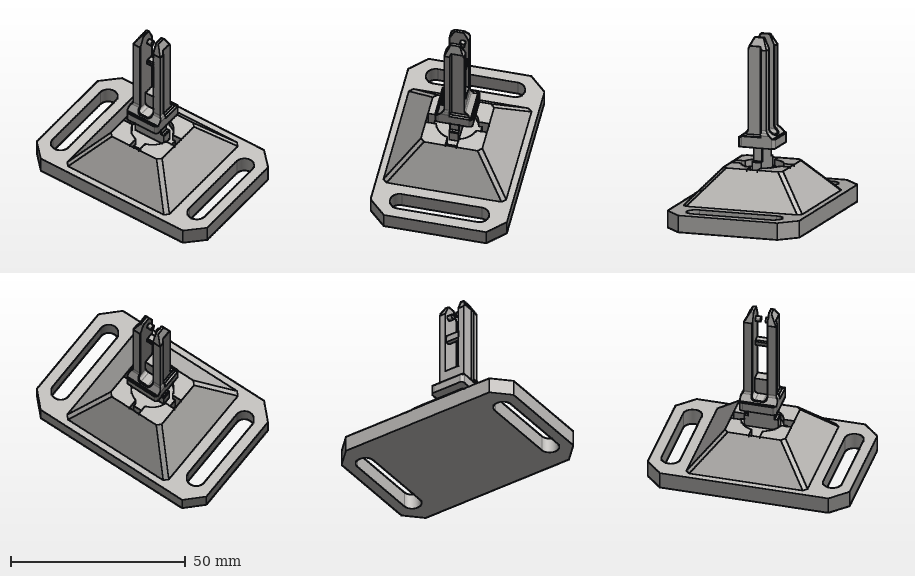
import cadquery as cq
import math

plate_length = 60.0
plate_width = 40.0
plate_thickness = 5.0
plate_corner = 5.0
slot_offset = 24.0
slot_length = 29.0
slot_width = 5.5

pedestal_bottom = 36.0
pedestal_top = 18.0
pedestal_top_z = 15.0
pedestal_corner = 1.15

socket_radius = 6.1
socket_depth = 2.0
groove_width = 3.3
groove_floor_reach = 6.85
well_depth = 6.0
well_floor_angle = 20.0

stem_width = 8.05
stem_thickness = 2.75
foot_width = 10.0
foot_top_z = 16.55
stem_edge_chamfer = 0.2
foot_shoulder_chamfer = 0.25

collar_size = 11.0
collar_bottom_z = 20.7
collar_top_z = 23.5
collar_corner_radius = 0.95
collar_rim_chamfer = 0.2

prong_outer_x = 4.8
prong_half_depth = 2.9
prong_base_z = 25.5
prong_shoulder_z = 49.3
prong_top_z = 52.6
tip_outer_x = 3.0
tip_half_depth = 1.4
tip_radius = 0.5
flare_radius = 1.0

channel_width = 4.45
channel_bottom_z = 24.05
channel_corner_radius = 1.0
channel_mouth_chamfer = 0.2
web_front_y = -0.35
web_top_z = 29.0

bar_front_y = 0.3
bar_back_y = 2.5
bar_bottom_z = 39.35
bar_top_z = 41.5
bar_lower_radius = 1.4
bar_upper_chamfer = 0.35
pin_diameter = 1.55
pin_y = 1.15
pin_z = 48.6
pin_gap = 1.55

recess_face_x = 4.2
recess_front_y = -1.25
recess_bottom_z = 23.8
recess_top_z = 50.7
recess_bevel = 0.5

pick_margin = 0.05


def block(x_range, y_range, z_range):
    """Box given by its limits along each axis."""
    sizes = [high - low for low, high in (x_range, y_range, z_range)]
    corner = (x_range[0], y_range[0], z_range[0])
    return cq.Workplane("XY").box(*sizes, centered=False).translate(corner)


def cut_corner_square(size, corner):
    """Corner points of a square with its corners cut off."""
    half = size / 2
    short = half - corner
    return [
        (-short, -half), (short, -half), (half, -short), (half, short),
        (short, half), (-short, half), (-half, short), (-half, -short),
    ]


def base_plate():
    plate = (
        cq.Workplane("XY").rect(plate_length, plate_width).extrude(plate_thickness)
        .edges("|Z").chamfer(plate_corner)
    )
    slots = (
        cq.Workplane("XY").pushPoints([(-slot_offset, 0), (slot_offset, 0)])
        .slot2D(slot_length, slot_width, 90).extrude(plate_thickness)
    )
    return plate.cut(slots)


def pedestal():
    return (
        cq.Workplane("XY").workplane(offset=plate_thickness)
        .polyline(cut_corner_square(pedestal_bottom, pedestal_corner)).close()
        .workplane(offset=pedestal_top_z - plate_thickness)
        .polyline(cut_corner_square(pedestal_top, pedestal_corner)).close()
        .loft(ruled=True)
    )


def cross(reach, z_range):
    """Two crossing bars of groove width, reaching equally far along X and Y."""
    half_groove = groove_width / 2
    along_x = block((-reach, reach), (-half_groove, half_groove), z_range)
    along_y = block((-half_groove, half_groove), (-reach, reach), z_range)
    return along_x.union(along_y)


def socket():
    """Round pocket, crossing grooves and a deeper well with a conical floor at each groove end."""
    floor_z = pedestal_top_z - socket_depth
    pocket = (
        cq.Workplane("XY").workplane(offset=floor_z)
        .circle(socket_radius).extrude(socket_depth)
    )
    grooves = cross(groove_floor_reach, (floor_z, pedestal_top_z))
    rim = pedestal_top / 2
    well_bottom_z = pedestal_top_z - well_depth
    cone_radius = math.hypot(rim, groove_width)
    cone_rise = (cone_radius - groove_floor_reach) * math.tan(math.radians(well_floor_angle))
    cone_space = (
        cq.Workplane("XZ")
        .polyline([
            (0, well_bottom_z),
            (groove_floor_reach, well_bottom_z),
            (cone_radius, well_bottom_z + cone_rise),
            (cone_radius, pedestal_top_z),
            (0, pedestal_top_z),
        ])
        .close().revolve(360, (0, 0), (0, 1))
    )
    well_heights = (well_bottom_z, pedestal_top_z)
    wells = cross(rim, well_heights).cut(cross(groove_floor_reach, well_heights)).intersect(cone_space)
    return pocket.union(grooves).union(wells)


def stem():
    foot_bottom_z = pedestal_top_z - socket_depth
    half_thickness = stem_thickness / 2
    foot = block(
        (-foot_width / 2, foot_width / 2), (-half_thickness, half_thickness), (foot_bottom_z, foot_top_z)
    ).edges("|Y and >Z").chamfer(foot_shoulder_chamfer)
    shaft = block(
        (-stem_width / 2, stem_width / 2), (-half_thickness, half_thickness), (foot_top_z, collar_bottom_z)
    ).edges("|Z").chamfer(stem_edge_chamfer)
    return foot.union(shaft)


def symmetric_prism(plane, half_outline):
    """Closed outline mirrored about the Z axis, extruded both ways past the collar."""
    mirrored = [(-across, z) for across, z in reversed(half_outline)]
    return cq.Workplane(plane).polyline(half_outline + mirrored).close().extrude(collar_size, both=True)


def fillet_at_height(prism, direction, z, radius):
    """Round the edges of a prism that run along one axis at the given height."""
    reach = 2 * collar_size
    band = cq.selectors.BoxSelector((-reach, -reach, z - pick_margin), (reach, reach, z + pick_margin))
    return prism.edges(direction).edges(band).fillet(radius)


def prong_blank():
    """Collar, flare, post and tapered tip, as the overlap of a front and a side outline."""
    half_collar = collar_size / 2
    flare_side_z = prong_base_z - (half_collar - prong_outer_x)
    front = symmetric_prism("XZ", [
        (half_collar, collar_bottom_z),
        (half_collar, flare_side_z),
        (prong_outer_x, prong_base_z),
        (prong_outer_x, prong_shoulder_z),
        (tip_outer_x, prong_top_z),
    ])
    front = fillet_at_height(front, "|Y", prong_base_z, flare_radius)
    front = fillet_at_height(front, "|Y", flare_side_z, flare_radius)
    flare_foot_y = prong_half_depth + prong_base_z - collar_top_z
    side = symmetric_prism("YZ", [
        (half_collar, collar_bottom_z),
        (half_collar, collar_top_z - collar_rim_chamfer),
        (half_collar - collar_rim_chamfer, collar_top_z),
        (flare_foot_y, collar_top_z),
        (prong_half_depth, prong_base_z),
        (prong_half_depth, prong_shoulder_z),
        (tip_half_depth, prong_top_z),
    ])
    side = fillet_at_height(side, "|X", prong_base_z, flare_radius)
    side = fillet_at_height(side, "|X", prong_top_z, tip_radius)
    rounded_square = (
        cq.Workplane("XY").workplane(offset=collar_bottom_z)
        .rect(collar_size, collar_size).extrude(prong_top_z - collar_bottom_z)
        .edges("|Z").fillet(collar_corner_radius)
    )
    return rounded_square.intersect(front).intersect(side)


def channel():
    """Round-bottomed gap between the prongs, leaving a low web at the back."""
    half = channel_width / 2
    front = block((-half, half), (-collar_size, web_front_y), (channel_bottom_z, prong_top_z))
    front = front.edges("|Y and <Z").fillet(channel_corner_radius)
    above_web = block((-half, half), (web_front_y, collar_size), (web_top_z, prong_top_z))
    return front.union(above_web)


def channelled_blank():
    """Prong blank split by the channel, with the rim of the channel's front mouth chamfered."""
    inner_reach = prong_outer_x - pick_margin
    mouth = cq.selectors.BoxSelector(
        (-inner_reach, -prong_half_depth - pick_margin, prong_base_z),
        (inner_reach, -prong_half_depth + pick_margin, prong_shoulder_z),
    )
    return prong_blank().cut(channel()).edges("|Z").edges(mouth).chamfer(channel_mouth_chamfer)


def side_recess():
    """Recess in the +X prong, open to the back, with bevelled walls."""
    recess = block(
        (recess_face_x, collar_size), (recess_front_y, collar_size), (recess_bottom_z, recess_top_z)
    )
    return recess.faces("<X").edges("<Y or <Z or >Z").chamfer(recess_bevel)


def cross_bar():
    """Bar joining the prongs, with its lower front edge heavily rounded."""
    half = channel_width / 2
    bar = block((-half, half), (bar_front_y, bar_back_y), (bar_bottom_z, bar_top_z))
    bar = bar.edges("<Y and <Z").fillet(bar_lower_radius)
    return bar.edges("<Y and >Z").chamfer(bar_upper_chamfer)


def locking_pin():
    """Round pin on the inner side of the +X prong."""
    pin_end = pin_gap / 2
    return (
        cq.Workplane("YZ").workplane(offset=pin_end).center(pin_y, pin_z)
        .circle(pin_diameter / 2).extrude(channel_width / 2 - pin_end)
    )


def prongs():
    """Pair of prongs with the collar, cross bar and locking pins."""
    recess = side_recess()
    pin = locking_pin()
    return (
        channelled_blank()
        .cut(recess).cut(recess.mirror("YZ"))
        .union(cross_bar())
        .union(pin).union(pin.mirror("YZ"))
    )


result = base_plate().union(pedestal()).cut(socket()).union(stem()).union(prongs())